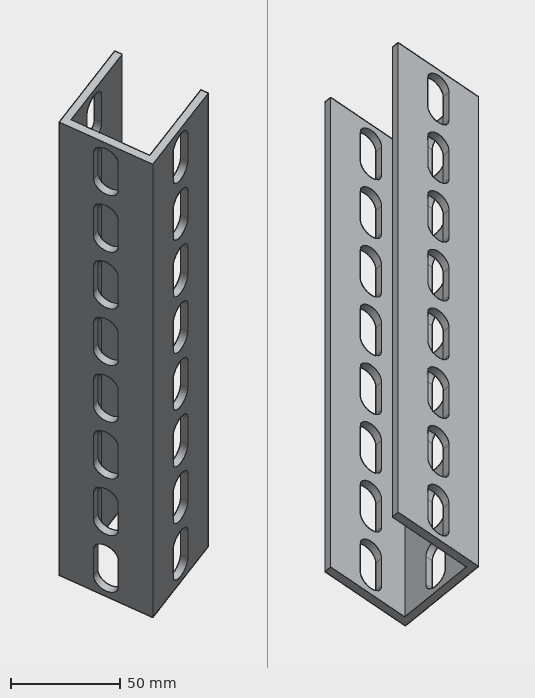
import cadquery as cq

length = 320.0
width = 50.0
slot_count = 8
slot_pitch = length / slot_count
slot_length = 32.0
slot_width = 13.0
slot_gap = slot_pitch - slot_length
wall = slot_gap / 2


def channel():
    """U-shaped bar with its web on the -Y side, open toward +Y."""
    outer = cq.Workplane("XY").box(width, width, length)
    cavity = cq.Workplane("XY").box(width - 2 * wall, width, length).translate((0, wall, 0))
    return outer.cut(cavity)


def slot_row(plane, start, depth):
    """Evenly spaced slots along Z, running from `start` along the plane normal for `depth`."""
    return (
        cq.Workplane(plane)
        .workplane(offset=start)
        .rarray(3.2, slot_pitch, 1, slot_count)
        .slot2D(slot_length, slot_width, 90)
        .extrude(depth)
    )


flange_slots = slot_row("YZ", -width / 2, width)
web_slots = slot_row("XZ", -width / 2, width)

result = channel().cut(flange_slots).cut(web_slots)